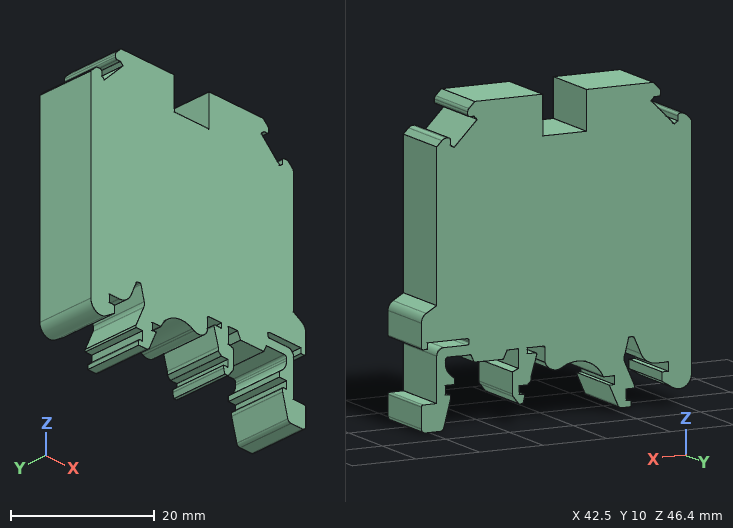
import cadquery as cq
import math


height = 46.4
length = 42.5
thickness = 10.0
foot_overhang = 2.4
body_right = length - foot_overhang

roof_z = 10.6
rim_z = 9.33
outer_groove_top = 6.45
outer_groove_bottom = 5.1
inner_groove_top = 5.3
inner_groove_bottom = 4.05

wire_slot_left = 16.5
wire_slot_width = 6.85
wire_slot_floor = 40.45

lip_chamfer = 1.1
lower_lip_z = 41.6
lower_lip_x = 2.2
lower_lip_neck_z = 40.55
lower_lip_radius = 0.35
lower_lip_crown_radius = 1.0
notch_low_x = 2.75
notch_low_z = 40.2
notch_run = 3.6
notch_end_step = 0.5
upper_lip_x = 4.85
upper_lip_radius = 0.32
upper_lip_crown_radius = 0.65

small_radius = 0.3
clip_tip_radius = 0.2


def marker_holder():
    """Left upper corner, from the left side up to the top face."""
    notch_high_x = notch_low_x + notch_run
    notch_high_z = notch_low_z + notch_run
    upper_lip_bottom = notch_high_z + notch_end_step
    return [
        (0, lower_lip_z - lip_chamfer),
        (lip_chamfer, lower_lip_z, lower_lip_crown_radius),
        (lower_lip_x, lower_lip_z, lower_lip_radius),
        (lower_lip_x, lower_lip_neck_z),
        (notch_low_x, notch_low_z),
        (notch_high_x, notch_high_z),
        (notch_high_x - notch_end_step, upper_lip_bottom),
        (upper_lip_x, upper_lip_bottom, upper_lip_radius),
        (upper_lip_x, height - lip_chamfer, upper_lip_crown_radius),
        (upper_lip_x + lip_chamfer, height),
    ]


def mirrored_across_body(corners):
    """The same corners on the other end of the body, in reverse order."""
    return [(body_right - x, *rest) for x, *rest in reversed(corners)]


def wire_slot():
    right = wire_slot_left + wire_slot_width
    return [
        (wire_slot_left, height),
        (wire_slot_left, wire_slot_floor),
        (right, wire_slot_floor),
        (right, height),
    ]


def shoulder_and_relief_slot():
    """Shoulder on the right side, then the slot that frees the spring arm below it."""
    shoulder_top, shoulder_edge, shoulder_radius = 17.95, 16.55, 1.55
    slot_top, slot_bottom, slot_end_x, slot_end_radius = 12.8, 11.9, 35.0, 0.35
    lip_width = 0.97
    arm_radius = 1.1
    return [
        (body_right, shoulder_top),
        (length, shoulder_edge, shoulder_radius),
        (length, slot_bottom, small_radius),
        (length - lip_width, slot_bottom),
        (length - lip_width, slot_top),
        (slot_end_x, slot_top, slot_end_radius),
        (slot_end_x, slot_bottom, slot_end_radius),
        (body_right, slot_bottom, arm_radius),
    ]


def spring_foot():
    """Foot at the end of the spring arm, round to the underside of the arm."""
    foot_top = 4.05
    foot_radius = 0.65
    sole_left = 39.05
    jaw_x = 37.9
    jaw_slope_start_z = 4.35
    arm_inner_x = 38.7
    tooth_x, tooth_top = 37.25, 7.4
    curve_z, curve_radius = 8.5, 2.3
    arm_underside, arm_underside_radius = 10.45, 0.4
    arm_root_x = 34.7
    return [
        (body_right, foot_top),
        (length, foot_top, small_radius),
        (length, 0, foot_radius),
        (sole_left, 0, foot_radius),
        (jaw_x, jaw_slope_start_z),
        (jaw_x, outer_groove_bottom, clip_tip_radius),
        (arm_inner_x, outer_groove_bottom),
        (arm_inner_x, outer_groove_top),
        (tooth_x, outer_groove_top),
        (tooth_x, tooth_top),
        (arm_inner_x, curve_z, curve_radius),
        (arm_inner_x, arm_underside, arm_underside_radius),
        (arm_root_x, arm_underside),
    ]


def rim_pad():
    """Shallow pad with sloping ends between the spring foot and the rail clip."""
    pad_left, pad_right = 29.6, 34.2
    slope_run = 0.6
    return [
        (pad_right, rim_z),
        (pad_left, rim_z),
        (pad_left - slope_run, roof_z),
    ]


def rail_clip():
    """Hanging clip, from its right side round to the space on its left."""
    stem_right, stem_left = 27.25, 25.85
    back_x, back_step_z, back_top = 28.2, 7.8, 7.4
    heel_z, heel_radius = 4.05, 0.65
    tip_z, tip_left, tip_right = 2.7, 26.5, 27.15
    jaw_x, jaw_low_z = 26.25, 3.55
    groove_x = 27.1
    shoe_x, shoe_low_x, shoe_z, shoe_top = 25.2, 25.8, 5.9, 6.5
    head_x, head_z, head_slope_z = 24.35, 9.75, 9.45
    return [
        (stem_right, roof_z),
        (stem_right, back_step_z),
        (back_x, back_top),
        (back_x, heel_z, heel_radius),
        (tip_right, tip_z, clip_tip_radius),
        (tip_left, tip_z),
        (jaw_x, jaw_low_z),
        (jaw_x, inner_groove_bottom),
        (groove_x, inner_groove_bottom),
        (groove_x, inner_groove_top),
        (shoe_low_x, inner_groove_top),
        (shoe_x, shoe_z),
        (shoe_x, shoe_top),
        (head_x, head_slope_z),
        (head_x, head_z, clip_tip_radius),
        (stem_left, head_z),
        (stem_left, roof_z),
    ]


def wavy_underside():
    """Wall beside the clip, then a rounded swell and a wide arch to its left."""
    wall_x, wall_bottom = 23.05, 8.25
    swell_x, swell_z, swell_radius = 22.23, 6.2, 1.85
    arch_x, arch_z, arch_radius = 16.0, 9.6, 4.45
    arch_left = 13.87
    return [
        (wall_x, roof_z, small_radius),
        (wall_x, wall_bottom),
        (swell_x, swell_z, swell_radius),
        (arch_x, arch_z, arch_radius),
        (arch_left, inner_groove_top),
    ]


def hook_foot():
    """Double-sided hook, from its right groove round to the knee on its left."""
    groove_x = 12.15
    tooth_x = 12.95
    sole_z, sole_left, sole_right, sole_radius = 0.6, 9.45, 11.4, 0.65
    toe_top = 1.6
    notch_x, notch_top = 10.25, 3.2
    heel_x, heel_top = 8.95, 3.6
    knee_x, knee_z, knee_radius = 10.65, 7.45, 1.4
    return [
        (groove_x, inner_groove_top),
        (groove_x, inner_groove_bottom),
        (tooth_x, inner_groove_bottom),
        (sole_right, sole_z, sole_radius),
        (sole_left, sole_z),
        (sole_left, toe_top, small_radius),
        (notch_x, toe_top),
        (notch_x, notch_top),
        (heel_x, notch_top),
        (heel_x, heel_top),
        (knee_x, knee_z, knee_radius),
    ]


def end_foot():
    """Open space left of the hook, then the rounded foot at the left end."""
    space_left, space_left_radius = 9.1, 0.4
    space_right, space_right_radius = 9.9, 0.2
    slope_foot_x, slope_foot_radius = 7.3, 2.6
    groove_x = 3.65
    tooth_x, tooth_bottom = 4.65, 3.75
    sole_corner_z, sole_radius = 0.9, 1.95
    return [
        (space_right, roof_z, space_right_radius),
        (space_left, roof_z, space_left_radius),
        (slope_foot_x, outer_groove_top, slope_foot_radius),
        (groove_x, outer_groove_top),
        (groove_x, outer_groove_bottom),
        (tooth_x, outer_groove_bottom),
        (tooth_x, tooth_bottom),
        (0, sole_corner_z, sole_radius),
    ]


def corner_arc(before, corner, after):
    """Start, middle and end of the arc that rounds a corner between two neighbours."""
    x, z, radius = corner
    angle_in = math.atan2(before[1] - z, before[0] - x)
    angle_out = math.atan2(after[1] - z, after[0] - x)
    half_angle = math.remainder(angle_out - angle_in, 2 * math.pi) / 2
    bisector = angle_in + half_angle
    tangent_length = radius / math.tan(abs(half_angle))
    middle_distance = radius / math.sin(abs(half_angle)) - radius

    def from_corner(angle, distance):
        return (x + distance * math.cos(angle), z + distance * math.sin(angle))

    return (
        from_corner(angle_in, tangent_length),
        from_corner(bisector, middle_distance),
        from_corner(angle_out, tangent_length),
    )


def closed_outline(corners):
    """Wire through the corners on the X-Z plane; the first corner must be sharp."""
    outline = cq.Workplane("XZ").moveTo(*corners[0])
    for index in range(1, len(corners)):
        corner = corners[index]
        if len(corner) == 2:
            outline = outline.lineTo(*corner)
            continue
        following = corners[(index + 1) % len(corners)]
        start, middle, end = corner_arc(corners[index - 1], corner, following)
        outline = outline.lineTo(*start).threePointArc(middle, end)
    return outline.close()


side_outline = (
    marker_holder()
    + wire_slot()
    + mirrored_across_body(marker_holder())
    + shoulder_and_relief_slot()
    + spring_foot()
    + rim_pad()
    + rail_clip()
    + wavy_underside()
    + hook_foot()
    + end_foot()
)

result = closed_outline(side_outline).extrude(-thickness)